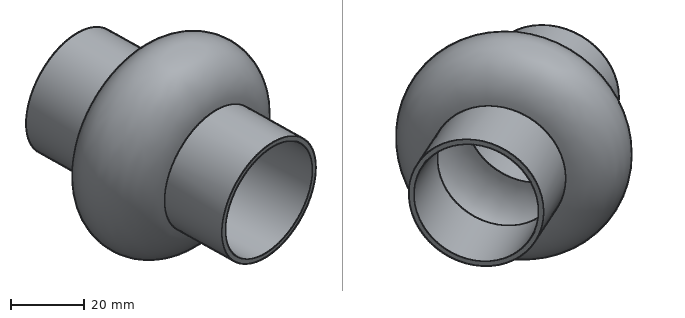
import cadquery as cq

length = 72.0
tube_diameter = 38.5
bore_diameter = 35.5
bulge_diameter = 66.0
bulge_width = 30.0

wall = (tube_diameter - bore_diameter) / 2
bulge_radius = bulge_width / 2
ring_radius = bulge_diameter / 2 - bulge_radius


def revolved_body(tube_radius, section_radius):
    """Tube along X with a ring of round section swelling out at its middle."""
    tube = cq.Workplane("YZ").circle(tube_radius).extrude(length / 2, both=True)
    bulge = (
        cq.Workplane("XY")
        .moveTo(-section_radius, 0)
        .lineTo(-section_radius, ring_radius)
        .threePointArc((0, ring_radius + section_radius), (section_radius, ring_radius))
        .lineTo(section_radius, 0)
        .close()
        .revolve(360, (0, 0, 0), (1, 0, 0))
    )
    return tube.union(bulge)


outside = revolved_body(tube_diameter / 2, bulge_radius)
inside = revolved_body(bore_diameter / 2, bulge_radius - wall)

result = outside.cut(inside)